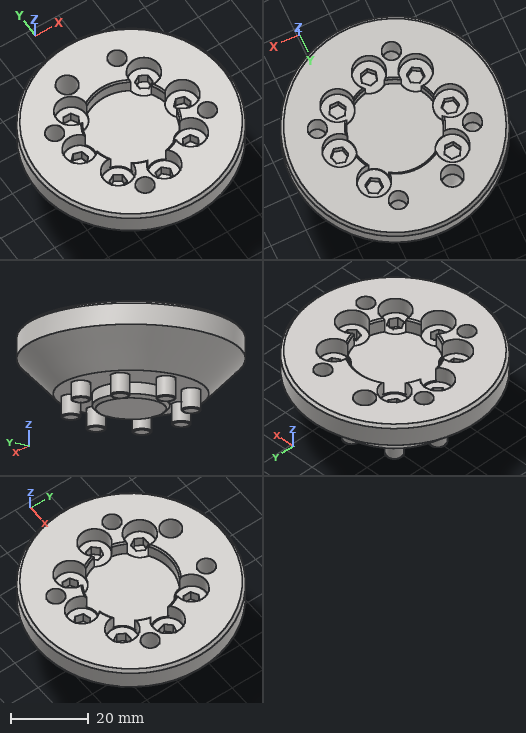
import cadquery as cq
import math

plate_diameter = 59.0
plate_radius = plate_diameter / 2
plate_thickness = 16.0
rim_height = 6.55
rim_chamfer = 0.8
cone_height = plate_thickness - rim_height
lower_radius = plate_radius - cone_height

spigot_diameter = 20.0
spigot_height = 4.0
spigot_chamfer = 0.9

bore_diameter = 25.0
bore_depth = 4.35
bore_chamfer = 0.5

tool_circle_radius = 20.0
tool_hole_diameter = 5.0
tool_hole_angles = [-22.5, 67.5, 157.5, 247.5]
locating_hole_diameter = 6.0
locating_hole_angle = 112.5
tool_hole_depth = 9.0
drill_point_angle = 118.0

screw_circle_radius = 15.75
place_count = 8
place_step = 360 / place_count
dowel_angle = 90.0
screw_angles = [i * place_step for i in range(place_count) if i * place_step != dowel_angle]
head_diameter = 8.95
head_height = 5.0
head_fillet = 0.5
head_recess = 0.25
head_top = plate_thickness - bore_depth - head_recess
head_seat = head_top - head_height
shank_diameter = 5.0
shank_tip_chamfer = 0.3
shank_projection = 5.5
socket_across_flats = 4.0
socket_depth = 3.0
socket_turn = 15.0
socket_sides = 6

dowel_diameter = 5.0
dowel_projection = 4.55
dowel_engagement = 6.0
dowel_chamfer = 0.3


def polar(radius, angle):
    """Point at a radius and an angle in degrees around the plate axis."""
    turn = math.radians(angle)
    return (radius * math.cos(turn), radius * math.sin(turn))


def cylinder(diameter, bottom, top, centre=(0, 0)):
    """Upright cylinder between two heights."""
    return cq.Workplane("XY", origin=(*centre, bottom)).circle(diameter / 2).extrude(top - bottom)


def drilled_hole(diameter, angle):
    """Cutter for a blind tool-side hole with a conical drill point."""
    radius = diameter / 2
    floor = plate_thickness - tool_hole_depth
    tip = floor - radius / math.tan(math.radians(drill_point_angle / 2))
    profile = [(0, tip), (radius, floor), (radius, plate_thickness), (0, plate_thickness)]
    cutter = cq.Workplane("XZ").polyline(profile).close().revolve(360, (0, 0), (0, 1))
    return cutter.translate((*polar(tool_circle_radius, angle), 0))


def make_blank():
    """Turned plate: rim, cone, spigot and tool-side centring bore."""
    spigot_radius = spigot_diameter / 2
    bore_radius = bore_diameter / 2
    bore_floor = plate_thickness - bore_depth
    profile = [
        (0, -spigot_height),
        (spigot_radius - spigot_chamfer, -spigot_height),
        (spigot_radius, spigot_chamfer - spigot_height),
        (spigot_radius, 0),
        (lower_radius, 0),
        (plate_radius, cone_height),
        (plate_radius, plate_thickness - rim_chamfer),
        (plate_radius - rim_chamfer, plate_thickness),
        (bore_radius + bore_chamfer, plate_thickness),
        (bore_radius, plate_thickness - bore_chamfer),
        (bore_radius, bore_floor),
        (0, bore_floor),
    ]
    return cq.Workplane("XZ").polyline(profile).close().revolve(360, (0, 0), (0, 1))


def make_plate():
    plate = make_blank()
    for angle in screw_angles:
        centre = polar(screw_circle_radius, angle)
        plate = plate.cut(cylinder(shank_diameter, 0, head_seat, centre))
        plate = plate.cut(cylinder(head_diameter, head_seat, plate_thickness, centre))
    for angle in tool_hole_angles:
        plate = plate.cut(drilled_hole(tool_hole_diameter, angle))
    plate = plate.cut(drilled_hole(locating_hole_diameter, locating_hole_angle))
    dowel_centre = polar(screw_circle_radius, dowel_angle)
    return plate.cut(cylinder(dowel_diameter, 0, dowel_engagement, dowel_centre))


def make_screw(angle):
    """Socket head cap screw, turned with its place on the circle."""
    head = cylinder(head_diameter, head_seat, head_top).faces(">Z").fillet(head_fillet)
    shank = cylinder(shank_diameter, -shank_projection, head_seat).faces("<Z").chamfer(shank_tip_chamfer)
    socket = (
        cq.Workplane("XY", origin=(0, 0, head_top - socket_depth))
        .polygon(socket_sides, socket_across_flats, circumscribed=True)
        .extrude(socket_depth)
    )
    screw = head.union(shank).cut(socket).rotate((0, 0, 0), (0, 0, 1), angle + socket_turn)
    return screw.translate((*polar(screw_circle_radius, angle), 0))


def make_dowel():
    dowel = cylinder(dowel_diameter, -dowel_projection, dowel_engagement)
    dowel = dowel.faces("<Z").chamfer(dowel_chamfer)
    return dowel.translate((*polar(screw_circle_radius, dowel_angle), 0))


plate = make_plate()
screws = [make_screw(angle) for angle in screw_angles]
dowel = make_dowel()

result = cq.Compound.makeCompound([plate.val(), *[screw.val() for screw in screws], dowel.val()])